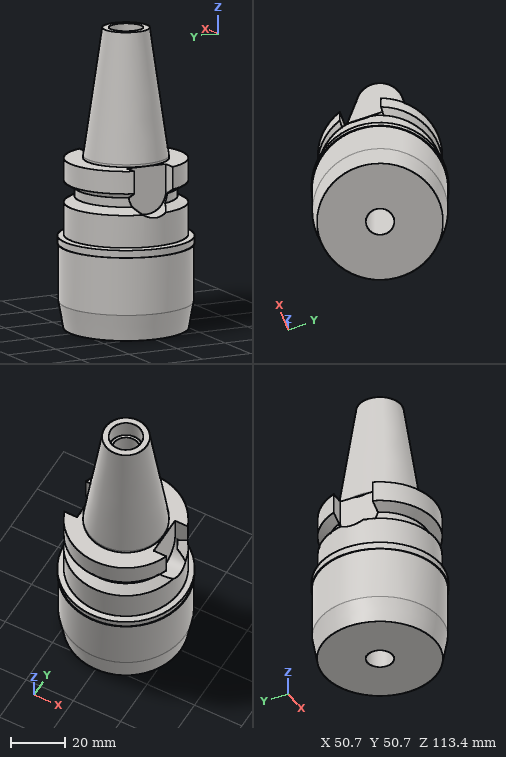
import cadquery as cq

total_height = 113.4
nose_height = 10.2
collar_bottom = 31.9
collar_outer_top = 34.7
collar_inner_top = 35.2
groove_lower_edge = 47.4
groove_floor_bottom = 49.7
groove_floor_top = 53.2
groove_upper_edge = 55.6
flange_top = 64.1
taper_bottom = 65.1

nose_radius = 23.2
sleeve_radius = 25.1
collar_diameter = 50.7
collar_radius = collar_diameter / 2
flange_radius = 23.0
groove_radius = 19.0
taper_large_radius = 15.9
taper_small_radius = 8.8

bore_radius = 5.2
mouth_radius = 6.4
mouth_depth = 7.3

slot_width = 16.1
slot_floor_x = 16.2
slot_bottom = 45.9


def make_body():
    """Revolve the outside profile about Z."""
    profile = [
        (0, 0),
        (nose_radius, 0),
        (sleeve_radius, nose_height),
        (sleeve_radius, collar_bottom),
        (collar_radius, collar_bottom),
        (collar_radius, collar_outer_top),
        (flange_radius, collar_inner_top),
        (flange_radius, groove_lower_edge),
        (groove_radius, groove_floor_bottom),
        (groove_radius, groove_floor_top),
        (flange_radius, groove_upper_edge),
        (flange_radius, flange_top),
        (taper_large_radius, flange_top),
        (taper_large_radius, taper_bottom),
        (taper_small_radius, total_height),
        (0, total_height),
    ]
    return cq.Workplane("XZ").polyline(profile).close().revolve(360, (0, 0), (0, 1))


def make_bore():
    """Through bore and its stepped mouth."""
    bore = cq.Workplane("XY").circle(bore_radius).extrude(total_height)
    mouth = (
        cq.Workplane("XY", origin=(0, 0, total_height - mouth_depth))
        .circle(mouth_radius)
        .extrude(mouth_depth)
    )
    return bore.union(mouth)


def make_drive_slot(side):
    """Flat-floored slot, open at the flange top and round at the bottom; side is -1 or 1."""
    half_width = slot_width / 2
    arc_center = slot_bottom + half_width
    return (
        cq.Workplane("YZ", origin=(side * slot_floor_x, 0, 0))
        .moveTo(-half_width, flange_top)
        .lineTo(-half_width, arc_center)
        .threePointArc((0, slot_bottom), (half_width, arc_center))
        .lineTo(half_width, flange_top)
        .close()
        .extrude(side * (collar_radius - slot_floor_x))
    )


result = make_body().cut(make_bore())
for side in (-1, 1):
    result = result.cut(make_drive_slot(side))